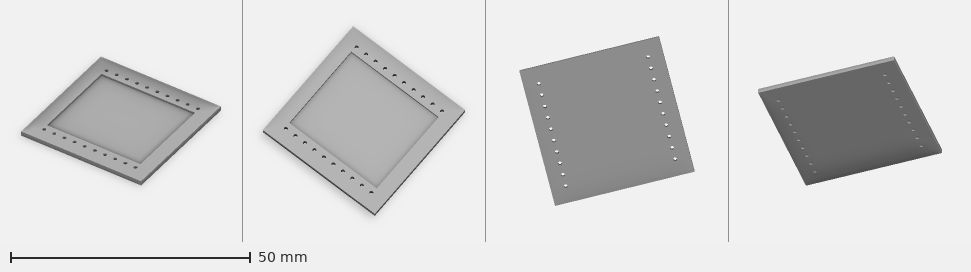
import cadquery as cq

side = 30.0
thickness = 1.1

pocket_length = 23.4
pocket_width = 20.55
pocket_depth = 0.5

hole_diameter = 0.85
holes_per_row = 10
row_length = 22.85
row_spacing = 23.5
hole_pitch = row_length / (holes_per_row - 1)

plate = cq.Workplane("XY").box(side, side, thickness)

pocketed_plate = (
    plate.faces(">Z").workplane()
    .rect(pocket_length, pocket_width)
    .cutBlind(-pocket_depth)
)

result = (
    pocketed_plate.faces(">Z").workplane(origin=(0, 0, 0))
    .rarray(hole_pitch, row_spacing, holes_per_row, 2)
    .hole(hole_diameter)
)